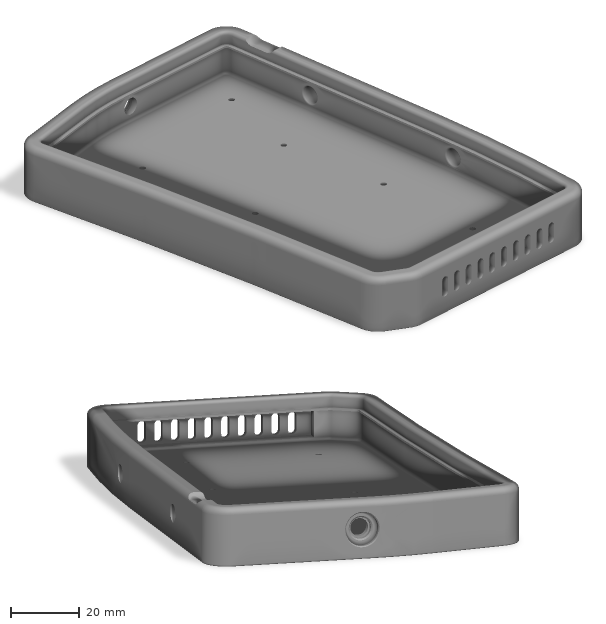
import cadquery as cq
import math

LENGTH = 149.4
WIDTH = 97.9
HEIGHT = 17.6
HALF_LENGTH = LENGTH / 2
HALF_WIDTH = WIDTH / 2

CORNER_RADIUS = 7.5
TOP_BEND_X = 12.0
TOP_BEND_RADIUS = 485.5
LEFT_BEND_Y = -1.6
LEFT_BEND_RADIUS = 95.6
LEFT_BEND_ANGLE = 10.8
LOW_CORNER_Y = -49.5
BOTTOM_EDGE_BOW = 1.3
CHAMFER_TOP_Y = -29.9
CHAMFER_ANGLE = 30.0
CHAMFER_BOTTOM_Y = -42.0

RIM_FILLET = 2.1
BASE_FILLET = 0.5

FLOOR_THICKNESS = 4.0
LIP_INSET = 5.1
LIP_FILLET = 1.0
RIDGE_INSET = 6.4
RIDGE_TOP = 13.6
RIDGE_THICKNESS = 0.6
WALL_INSET = 5.5
FLOOR_FILLET = RIDGE_INSET - WALL_INSET

MOUNT_DIAMETER = 2.0
MOUNT_POINTS = [
    (-56.5, 32.0), (-26.0, 21.5), (12.0, 23.5), (50.0, 20.6),
    (-46.6, -17.0), (-3.1, -15.5), (50.0, -19.5),
]

JACK_Y = 2.2
JACK_Z = HEIGHT / 2
JACK_RECESS_DIAMETER = 10.0
JACK_RECESS_DEPTH = 2.0
JACK_BORE_DIAMETER = 6.4
JACK_BORE_DEPTH = 3.6
JACK_THROUGH_DIAMETER = 5.4
JACK_RECESS_CHAMFER = 0.3
JACK_BORE_CHAMFER = 0.5

SIDE_HOLE_DIAMETER = 5.5
SIDE_HOLE_RIM_DIAMETER = 6.4
SIDE_HOLE_XS = [-35.9, 21.2]
SIDE_HOLE_Z = 8.4

NOTCH_X = -56.5
NOTCH_WIDTH = 11.4
NOTCH_DIAMETER = 6.4
NOTCH_DEPTH = 1.6

VENT_COUNT = 10
VENT_PITCH = 5.1
VENT_SLOT_Y = 5.0
VENT_SLOT_WIDTH = 2.5
VENT_SLOT_HEIGHT = 6.5
VENT_SLOT_Z = 8.8
VENT_POCKET_Y = 4.6
VENT_POCKET_LENGTH = 56.5
VENT_WALL = 2.1
VENT_POCKET_BOTTOM = FLOOR_THICKNESS + FLOOR_FILLET
VENT_POCKET_TOP = RIDGE_TOP - RIDGE_THICKNESS

CUT_MARGIN = 1.5


def outline_prism(bottom, top):
    """Solid with the rounded outer outline between two heights."""
    bend = math.radians(LEFT_BEND_ANGLE)
    left_line_x = -HALF_LENGTH + LEFT_BEND_RADIUS * (1 - math.cos(bend))
    left_line_y = LEFT_BEND_Y - LEFT_BEND_RADIUS * math.sin(bend)
    left_mid_x = -HALF_LENGTH + LEFT_BEND_RADIUS * (1 - math.cos(bend / 2))
    left_mid_y = LEFT_BEND_Y - LEFT_BEND_RADIUS * math.sin(bend / 2)
    low_corner_x = left_line_x + (left_line_y - LOW_CORNER_Y) * math.tan(bend)

    chamfer_drop = CHAMFER_TOP_Y - CHAMFER_BOTTOM_Y
    chamfer_x = HALF_LENGTH - chamfer_drop * math.tan(math.radians(CHAMFER_ANGLE))

    def top_edge_y(x):
        return HALF_WIDTH - TOP_BEND_RADIUS + math.sqrt(TOP_BEND_RADIUS**2 - (x - TOP_BEND_X)**2)

    top_mid_x = (TOP_BEND_X + HALF_LENGTH) / 2
    bottom_mid_x = (low_corner_x + chamfer_x) / 2
    bottom_mid_y = (LOW_CORNER_Y + CHAMFER_BOTTOM_Y) / 2 + BOTTOM_EDGE_BOW

    sketch = (
        cq.Workplane("XY", origin=(0, 0, bottom))
        .moveTo(-HALF_LENGTH, HALF_WIDTH)
        .lineTo(TOP_BEND_X, HALF_WIDTH)
        .threePointArc((top_mid_x, top_edge_y(top_mid_x)), (HALF_LENGTH, top_edge_y(HALF_LENGTH)))
        .lineTo(HALF_LENGTH, CHAMFER_TOP_Y)
        .lineTo(chamfer_x, CHAMFER_BOTTOM_Y)
        .threePointArc((bottom_mid_x, bottom_mid_y), (low_corner_x, LOW_CORNER_Y))
        .lineTo(left_line_x, left_line_y)
        .threePointArc((left_mid_x, left_mid_y), (-HALF_LENGTH, LEFT_BEND_Y))
        .close()
    )
    prism = sketch.extrude(top - bottom)
    corners = [
        (-HALF_LENGTH, HALF_WIDTH),
        (HALF_LENGTH, top_edge_y(HALF_LENGTH)),
        (HALF_LENGTH, CHAMFER_TOP_Y),
        (chamfer_x, CHAMFER_BOTTOM_Y),
        (low_corner_x, LOW_CORNER_Y),
    ]
    mid_height = (bottom + top) / 2
    for x, y in corners:
        edge = cq.selectors.NearestToPointSelector((x, y, mid_height))
        prism = prism.edges("|Z").edges(edge).fillet(CORNER_RADIUS)
    return prism


def inset_prism(inset, bottom, top):
    """Solid with the outline moved inward by an inset, between two heights."""
    outer_wire = outline_prism(bottom, top).faces("<Z").wires().val()
    return cq.Workplane(outer_wire.offset2D(-inset)[0]).toPending().extrude(top - bottom)


def tray():
    """Open tray with rounded rim, a thin ridge round the cavity and a filleted floor."""
    body = outline_prism(0, HEIGHT)
    body = body.faces(">Z").edges().fillet(RIM_FILLET)
    body = body.faces("<Z").edges().fillet(BASE_FILLET)

    ridge_bottom = RIDGE_TOP - RIDGE_THICKNESS
    lower = inset_prism(WALL_INSET, FLOOR_THICKNESS, ridge_bottom)
    lower = lower.faces("<Z").edges().fillet(FLOOR_FILLET)
    neck = inset_prism(RIDGE_INSET, ridge_bottom, RIDGE_TOP)
    upper = inset_prism(LIP_INSET, RIDGE_TOP, HEIGHT)
    body = body.cut(lower).cut(neck).cut(upper)

    inner_rim = body.faces(">Z").wires().vals()
    shortest = min(inner_rim, key=lambda wire: wire.Length())
    return body.newObject(shortest.Edges()).fillet(LIP_FILLET)


def mounting_holes():
    """Pins that open the mounting holes through the floor."""
    plane = cq.Workplane("XY", origin=(0, 0, -CUT_MARGIN))
    pins = plane.pushPoints(MOUNT_POINTS).circle(MOUNT_DIAMETER / 2)
    return pins.extrude(FLOOR_THICKNESS + 2 * CUT_MARGIN)


def jack_hole():
    """Turned cutter along +X: a recess, a bore and a through hole."""
    recess = JACK_RECESS_DIAMETER / 2
    bore = JACK_BORE_DIAMETER / 2
    through = JACK_THROUGH_DIAMETER / 2
    profile = [
        (-CUT_MARGIN, 0),
        (-CUT_MARGIN, recess + JACK_RECESS_CHAMFER),
        (0, recess + JACK_RECESS_CHAMFER),
        (JACK_RECESS_CHAMFER, recess),
        (JACK_RECESS_DEPTH, recess),
        (JACK_RECESS_DEPTH, bore + JACK_BORE_CHAMFER),
        (JACK_RECESS_DEPTH + JACK_BORE_CHAMFER, bore),
        (JACK_BORE_DEPTH, bore),
        (JACK_BORE_DEPTH, through),
        (RIDGE_INSET + CUT_MARGIN, through),
        (RIDGE_INSET + CUT_MARGIN, 0),
    ]
    cutter = cq.Workplane("XY").polyline(profile).close().revolve(360, (0, 0, 0), (1, 0, 0))
    return cutter.translate((-HALF_LENGTH, JACK_Y, JACK_Z))


def cable_notch():
    """Flat-bottomed groove with round sides, cut down from the rim."""
    radius = NOTCH_DIAMETER / 2
    axis_height = HEIGHT - NOTCH_DEPTH + radius
    side_reach = math.sqrt(radius**2 - (radius - NOTCH_DEPTH)**2)
    slot_length = NOTCH_WIDTH - 2 * side_reach + NOTCH_DIAMETER
    plane = cq.Workplane("XZ", origin=(NOTCH_X, HALF_WIDTH + CUT_MARGIN, axis_height))
    return plane.slot2D(slot_length, NOTCH_DIAMETER).extrude(RIDGE_INSET + CUT_MARGIN)


def vent():
    """Pocket in the inner face of the +X wall with a row of upright slots behind it."""
    inner_face = HALF_LENGTH - WALL_INSET
    back_face = HALF_LENGTH - VENT_WALL
    pocket_depth = back_face - inner_face
    pocket_height = VENT_POCKET_TOP - VENT_POCKET_BOTTOM
    pocket = cq.Workplane("XY").box(
        pocket_depth + CUT_MARGIN, VENT_POCKET_LENGTH, pocket_height, centered=(False, True, False)
    )
    pocket = pocket.translate((inner_face - CUT_MARGIN, VENT_POCKET_Y, VENT_POCKET_BOTTOM))
    slots = (
        cq.Workplane("YZ", origin=(inner_face, VENT_SLOT_Y, VENT_SLOT_Z))
        .rarray(VENT_PITCH, 1.5, VENT_COUNT, 1)
        .slot2D(VENT_SLOT_HEIGHT, VENT_SLOT_WIDTH, 90)
        .extrude(WALL_INSET + CUT_MARGIN)
    )
    return pocket.union(slots)


def side_holes(body):
    """Through holes in the +Y wall with their inner edges rounded over."""
    rounding = (SIDE_HOLE_RIM_DIAMETER - SIDE_HOLE_DIAMETER) / 2
    for x in SIDE_HOLE_XS:
        plane = cq.Workplane("XZ", origin=(x, HALF_WIDTH + CUT_MARGIN, SIDE_HOLE_Z))
        body = body.cut(plane.circle(SIDE_HOLE_DIAMETER / 2).extrude(WALL_INSET + 3 * CUT_MARGIN))
        inner = cq.selectors.NearestToPointSelector((x, HALF_WIDTH - WALL_INSET - CUT_MARGIN, SIDE_HOLE_Z))
        body = body.edges("%CIRCLE or %BSPLINE or %OTHER").edges(inner).fillet(rounding)
    return body


result = side_holes(tray())
result = result.cut(mounting_holes()).cut(jack_hole()).cut(cable_notch()).cut(vent())